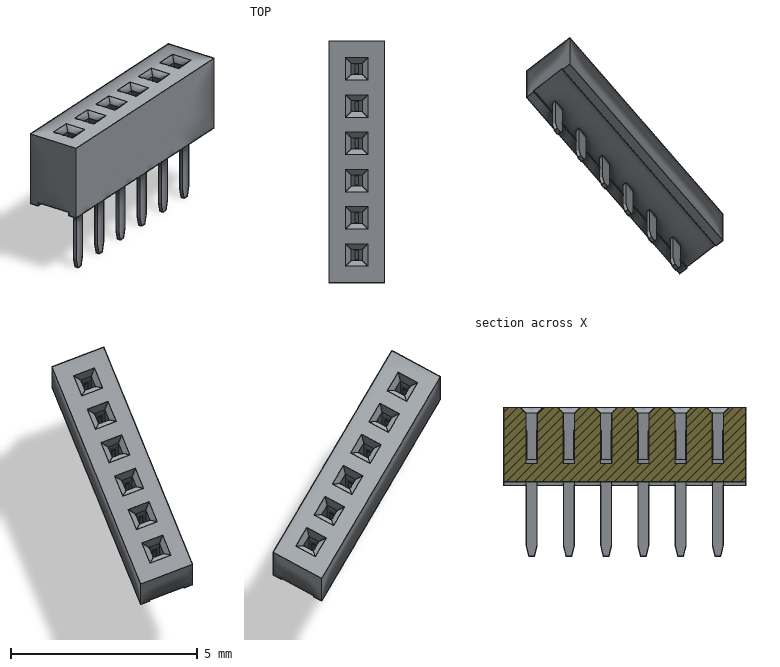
import cadquery as cq

contact_count = 6
pitch = 1.0
end_margin = 0.75
body_width = 1.5
body_length = (contact_count - 1) * pitch + 2 * end_margin
body_height = 2.1

foot_width = 0.25
foot_height = 0.1
channel_width = body_width - 2 * foot_width

mouth_size = 0.6
socket_size = 0.3
mouth_depth = 0.15
socket_depth = 1.5
mouth_slope = mouth_depth / ((mouth_size - socket_size) / 2)

tail_x = 0.29
tail_thickness = 0.1
tail_width = 0.3
tip_width = 0.15
tip_length = 0.3
tail_reach = 1.9

contact_thickness = 0.1
prong_gap = 0.25
prong_reach = (socket_size - prong_gap) / 2
lead_in_height = prong_reach * mouth_slope
prong_top_depth = 0.6
web_height = 0.1

contact_positions = [(i - (contact_count - 1) / 2) * pitch for i in range(contact_count)]


def make_housing():
    """Block with the channel cut along its full length."""
    block = cq.Workplane("XY").box(body_width, body_length, body_height, centered=(True, True, False))
    channel = cq.Workplane("XY").box(channel_width, body_length, foot_height, centered=(True, True, False))
    return block.cut(channel)


def make_socket(y):
    """Square hole with a funnel-shaped mouth."""
    top = cq.Workplane("XY").workplane(offset=body_height).center(0, y)
    funnel = (
        top.rect(mouth_size, mouth_size)
        .workplane(offset=-mouth_depth)
        .rect(socket_size, socket_size)
        .loft(ruled=True)
    )
    hole = top.rect(socket_size, socket_size).extrude(-socket_depth)
    return funnel.union(hole)


def make_fork(y):
    """U-shaped contact whose prong tips slope from the socket walls down to the gap."""
    floor_z = body_height - socket_depth
    web_z = floor_z + web_height
    tip_z = body_height - prong_top_depth
    shoulder_z = tip_z - lead_in_height
    half_socket = socket_size / 2
    half_gap = prong_gap / 2
    outline = [
        (y - half_socket, floor_z),
        (y - half_socket, tip_z),
        (y - half_gap, shoulder_z),
        (y - half_gap, web_z),
        (y + half_gap, web_z),
        (y + half_gap, shoulder_z),
        (y + half_socket, tip_z),
        (y + half_socket, floor_z),
    ]
    side_plane = cq.Workplane("YZ").workplane(offset=-contact_thickness / 2)
    return side_plane.polyline(outline).close().extrude(contact_thickness)


def make_tail(y):
    """Flat tail hanging from the channel roof, narrowing to its tip."""
    half_width = tail_width / 2
    half_tip = tip_width / 2
    taper_z = tip_length - tail_reach
    outline = [
        (y - half_width, foot_height),
        (y - half_width, taper_z),
        (y - half_tip, -tail_reach),
        (y + half_tip, -tail_reach),
        (y + half_width, taper_z),
        (y + half_width, foot_height),
    ]
    side_plane = cq.Workplane("YZ").workplane(offset=tail_x - tail_thickness / 2)
    return side_plane.polyline(outline).close().extrude(tail_thickness)


result = make_housing()
for contact_y in contact_positions:
    result = result.cut(make_socket(contact_y))
    result = result.union(make_fork(contact_y))
    result = result.union(make_tail(contact_y))